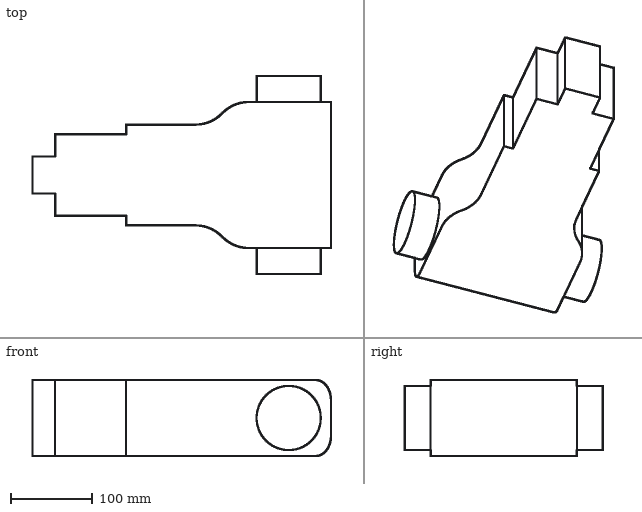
import cadquery as cq
import math

length = 368.0
height = 94.0
tip_length = 28.0
tip_half_width = 23.0
step_end = 115.5
step_half_width = 50.5
neck_half_width = 62.2
head_half_width = 90.0

shoulder_start = 201.0
shoulder_radius = 45.5
shoulder_angle = math.radians(45)

round_length = 18.8
round_height = 25.0

pin_diameter = 79.0
pin_x = 315.7
pin_span = 244.0


def shoulder_points():
    """Points from the neck to the head, in the order arc, straight, arc."""
    def arc_offset(angle):
        return shoulder_radius * math.sin(angle), shoulder_radius * (1 - math.cos(angle))

    mid_x, mid_y = arc_offset(shoulder_angle / 2)
    arc_x, arc_y = arc_offset(shoulder_angle)
    straight_y = head_half_width - neck_half_width - 2 * arc_y
    straight_x = straight_y / math.tan(shoulder_angle)
    shoulder_end = shoulder_start + 2 * arc_x + straight_x
    return [
        (shoulder_start, neck_half_width),
        (shoulder_start + mid_x, neck_half_width + mid_y),
        (shoulder_start + arc_x, neck_half_width + arc_y),
        (shoulder_end - arc_x, head_half_width - arc_y),
        (shoulder_end - mid_x, head_half_width - mid_y),
        (shoulder_end, head_half_width),
    ]


def make_body():
    neck, lower_mid, lower_end, upper_start, upper_mid, head = shoulder_points()
    return (
        cq.Workplane("XY")
        .moveTo(0, 0)
        .lineTo(0, tip_half_width)
        .lineTo(tip_length, tip_half_width)
        .lineTo(tip_length, step_half_width)
        .lineTo(step_end, step_half_width)
        .lineTo(step_end, neck_half_width)
        .lineTo(*neck)
        .threePointArc(lower_mid, lower_end)
        .lineTo(*upper_start)
        .threePointArc(upper_mid, head)
        .lineTo(length, head_half_width)
        .lineTo(length, 0)
        .mirrorX()
        .extrude(height / 2, both=True)
    )


def make_rounded_block():
    """Full-width block whose head end has the elliptical corners."""
    top = height / 2
    round_start = length - round_length
    flat_top = top - round_height
    return (
        cq.Workplane("XZ")
        .moveTo(0, top)
        .lineTo(0, -top)
        .lineTo(round_start, -top)
        .ellipseArc(round_length, round_height, 270, 360)
        .lineTo(length, flat_top)
        .ellipseArc(round_length, round_height, 0, 90)
        .close()
        .extrude(head_half_width, both=True)
    )


def make_pins():
    return (
        cq.Workplane("XZ")
        .center(pin_x, 0)
        .circle(pin_diameter / 2)
        .extrude(pin_span / 2, both=True)
    )


result = make_body().intersect(make_rounded_block()).union(make_pins())